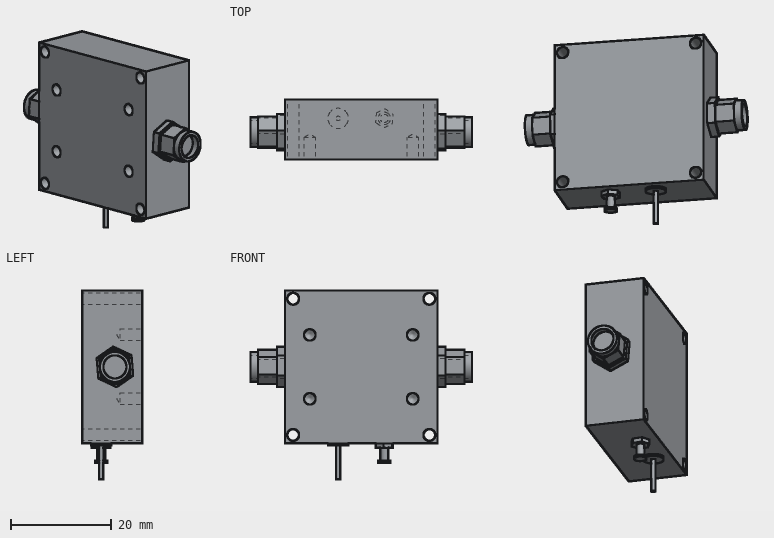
import cadquery as cq
import math

OVERALL_LENGTH = 44.25
HOUSING_SIDE = 30.5
HOUSING_DEPTH = 12.05

MOUNT_HOLE_DIAMETER = 2.3
MOUNT_HOLE_OFFSET = 13.6
BLIND_HOLE_DIAMETER = 2.3
BLIND_HOLE_DEPTH = 4.43
BLIND_HOLE_OFFSET_X = 10.25
BLIND_HOLE_OFFSET_Z = 6.37
DRILL_POINT_ANGLE = 118.0

HEX_TILT = 4.8

CONNECTOR_Y = -0.55
FLANGE_ACROSS_FLATS = 7.0
FLANGE_THICKNESS = 1.6
COUPLING_DIAMETER = 6.0
COUPLING_BORE_DIAMETER = 4.6
COUPLING_HEX_LENGTH = 3.75

TERMINAL_Y = 2.2
TERMINAL_OFFSET_X = 4.6

COLLAR_DIAMETER = 4.05
COLLAR_THICKNESS = 0.45
PIN_DIAMETER = 0.9
PIN_REACH = 7.2

GROUND_NUT_ACROSS_FLATS = 3.3
GROUND_NUT_THICKNESS = 0.95
TURRET_REACH = 3.9
TURRET_POST_DIAMETER = 1.65
TURRET_HEAD_DIAMETER = 2.5
TURRET_HEAD_THICKNESS = 0.45

HOUSING_HALF = HOUSING_SIDE / 2
FRONT_Y = -HOUSING_DEPTH / 2
COUPLING_LENGTH = OVERALL_LENGTH / 2 - HOUSING_HALF - FLANGE_THICKNESS
COUPLING_BORE_DEPTH = COUPLING_LENGTH - COUPLING_HEX_LENGTH


def corner_points(offset_x, offset_z):
    return [(x, z) for x in (-offset_x, offset_x) for z in (-offset_z, offset_z)]


def hexagon_diameter(across_flats):
    """Diameter through the corners of a hexagon."""
    return across_flats / math.cos(math.radians(30))


def hex_prism(across_flats, length):
    """Hexagonal prism standing on Z = 0, with one corner pointing along +X."""
    return cq.Workplane("XY").polygon(6, hexagon_diameter(across_flats)).extrude(length)


def cylinder(diameter, length):
    return cq.Workplane("XY").circle(diameter / 2).extrude(length)


def make_housing():
    block = cq.Workplane("XY").box(HOUSING_SIDE, HOUSING_DEPTH, HOUSING_SIDE)
    front = cq.Workplane("XZ", origin=(0, FRONT_Y, 0))

    mount_holes = (
        front.pushPoints(corner_points(MOUNT_HOLE_OFFSET, MOUNT_HOLE_OFFSET))
        .circle(MOUNT_HOLE_DIAMETER / 2)
        .extrude(-HOUSING_DEPTH)
    )
    block = block.cut(mount_holes)

    radius = BLIND_HOLE_DIAMETER / 2
    tip_depth = BLIND_HOLE_DEPTH + radius / math.tan(math.radians(DRILL_POINT_ANGLE / 2))
    drill = (
        cq.Workplane("XY")
        .polyline([(0, 0), (radius, 0), (radius, BLIND_HOLE_DEPTH), (0, tip_depth)])
        .close()
        .revolve(360, (0, 0, 0), (0, 1, 0))
    )
    for x, z in corner_points(BLIND_HOLE_OFFSET_X, BLIND_HOLE_OFFSET_Z):
        block = block.cut(drill.translate((x, FRONT_Y, z)))
    return block


def place_on_end(body, side, distance):
    """Turn a body built along +Z to point out of the -X or +X end (side = -1 or 1)."""
    outward = body.rotate((0, 0, 0), (0, 1, 0), 90)
    tilted = outward.rotate((0, 0, 0), (1, 0, 0), -HEX_TILT)
    if side < 0:
        tilted = tilted.mirror("YZ")
    return tilted.translate((side * (HOUSING_HALF + distance), CONNECTOR_Y, 0))


def make_flange(side):
    return place_on_end(hex_prism(FLANGE_ACROSS_FLATS, FLANGE_THICKNESS), side, 0)


def make_coupling_nut(side):
    """Hexagonal nut with a round, bored outer end."""
    nut = hex_prism(COUPLING_DIAMETER, COUPLING_HEX_LENGTH)
    nut = nut.union(cylinder(COUPLING_DIAMETER, COUPLING_LENGTH))
    bore = cylinder(COUPLING_BORE_DIAMETER, COUPLING_BORE_DEPTH)
    nut = nut.cut(bore.translate((0, 0, COUPLING_HEX_LENGTH)))
    return place_on_end(nut, side, FLANGE_THICKNESS)


def hang_below(body, x):
    """Turn a body built along +Z to hang down from the underside of the housing."""
    hanging = body.rotate((0, 0, 0), (1, 0, 0), 180)
    return hanging.translate((x, TERMINAL_Y, -HOUSING_HALF))


def make_feedthrough_collar():
    collar = cylinder(COLLAR_DIAMETER, COLLAR_THICKNESS)
    collar = collar.cut(cylinder(PIN_DIAMETER, COLLAR_THICKNESS))
    return hang_below(collar, -TERMINAL_OFFSET_X)


def make_feedthrough_pin():
    return hang_below(cylinder(PIN_DIAMETER, PIN_REACH), -TERMINAL_OFFSET_X)


def make_ground_nut():
    nut = hex_prism(GROUND_NUT_ACROSS_FLATS, GROUND_NUT_THICKNESS)
    nut = nut.cut(cylinder(TURRET_POST_DIAMETER, GROUND_NUT_THICKNESS))
    nut = nut.rotate((0, 0, 0), (0, 0, 1), 90 + HEX_TILT)
    return hang_below(nut, TERMINAL_OFFSET_X)


def make_turret():
    """Post with a wider head at its lower end."""
    head = cylinder(TURRET_HEAD_DIAMETER, TURRET_HEAD_THICKNESS)
    head = head.translate((0, 0, TURRET_REACH - TURRET_HEAD_THICKNESS))
    turret = cylinder(TURRET_POST_DIAMETER, TURRET_REACH).union(head)
    return hang_below(turret, TERMINAL_OFFSET_X)


housing = make_housing()
flanges = [make_flange(side).val() for side in (-1, 1)]
coupling_nuts = [make_coupling_nut(side).val() for side in (-1, 1)]
feedthrough_collar = make_feedthrough_collar()
feedthrough_pin = make_feedthrough_pin()
ground_nut = make_ground_nut()
turret = make_turret()

result = cq.Compound.makeCompound([
    housing.val(),
    *flanges,
    *coupling_nuts,
    feedthrough_collar.val(),
    feedthrough_pin.val(),
    ground_nut.val(),
    turret.val(),
])